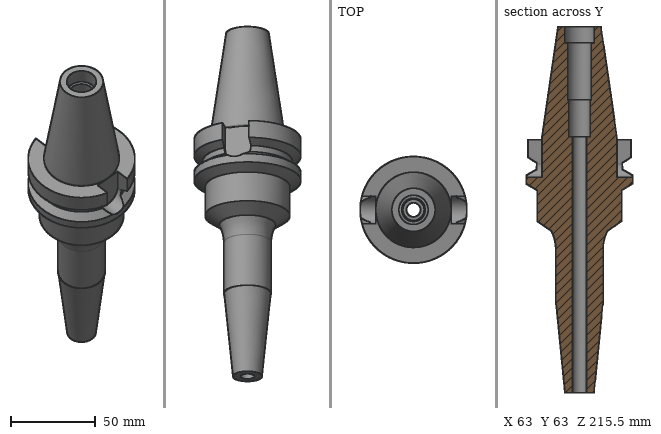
import cadquery as cq

length = 215.5

nose_top = 52.1
neck_blend_bottom = 84.2
neck_blend_top = 95.2
body_bottom = 101.0
body_top = 119.1
lower_rim_bottom = 123.0
lower_rim_top = 128.2
groove_bottom = 131.5
groove_top = 135.3
upper_rim_bottom = 138.5
flange_top = 149.0
gauge_height = 150.1

nose_tip_radius = 8.6
nose_top_radius = 13.8
neck_radius = 14.0
neck_blend_radius = 16.5
body_radius = 25.0
flange_radius = 31.5
groove_radius = 26.5
gauge_radius = 22.2
shank_top_radius = 12.7

slot_width = 16.2
slot_depth = 22.2
slot_floor = 22.2

through_radius = 4.0
bore_steps = [(8.6, 9.5), (7.0, 43.0), (6.2, 64.6)]


def revolved_body():
    """Nose, neck, body, grooved flange and taper shank as one revolution."""
    flare = neck_blend_radius - neck_radius
    rise = neck_blend_top - neck_blend_bottom
    arc_radius = (flare**2 + rise**2) / (2 * flare)
    middle_rise = rise / 2
    middle_flare = arc_radius - (arc_radius**2 - middle_rise**2) ** 0.5
    blend_middle = (neck_radius + middle_flare, neck_blend_bottom + middle_rise)
    return (
        cq.Workplane("XZ")
        .moveTo(0, 0)
        .lineTo(nose_tip_radius, 0)
        .lineTo(nose_top_radius, nose_top)
        .lineTo(neck_radius, nose_top)
        .lineTo(neck_radius, neck_blend_bottom)
        .threePointArc(blend_middle, (neck_blend_radius, neck_blend_top))
        .lineTo(body_radius, body_bottom)
        .lineTo(body_radius, body_top)
        .lineTo(flange_radius, lower_rim_bottom)
        .lineTo(flange_radius, lower_rim_top)
        .lineTo(groove_radius, groove_bottom)
        .lineTo(groove_radius, groove_top)
        .lineTo(flange_radius, upper_rim_bottom)
        .lineTo(flange_radius, flange_top)
        .lineTo(gauge_radius, flange_top)
        .lineTo(gauge_radius, gauge_height)
        .lineTo(shank_top_radius, length)
        .lineTo(0, length)
        .close()
        .revolve(360, (0, 0), (0, 1))
    )


def drive_slot(side):
    """Round-ended slot cutter on the +X (side = 1) or -X (side = -1) flank."""
    half_width = slot_width / 2
    slot_bottom = flange_top - slot_depth
    round_center = slot_bottom + half_width
    return (
        cq.Workplane("YZ", origin=(side * slot_floor, 0, 0))
        .moveTo(-half_width, flange_top)
        .lineTo(-half_width, round_center)
        .threePointArc((0, slot_bottom), (half_width, round_center))
        .lineTo(half_width, flange_top)
        .close()
        .extrude(side * flange_radius)
    )


def axial_bore():
    """Through hole with wider steps opening toward the shank end."""
    bore = cq.Workplane("XY").circle(through_radius).extrude(length)
    for radius, depth in bore_steps:
        step = cq.Workplane("XY", origin=(0, 0, length - depth)).circle(radius).extrude(depth)
        bore = bore.union(step)
    return bore


result = revolved_body().cut(axial_bore())
for side in (-1, 1):
    result = result.cut(drive_slot(side))